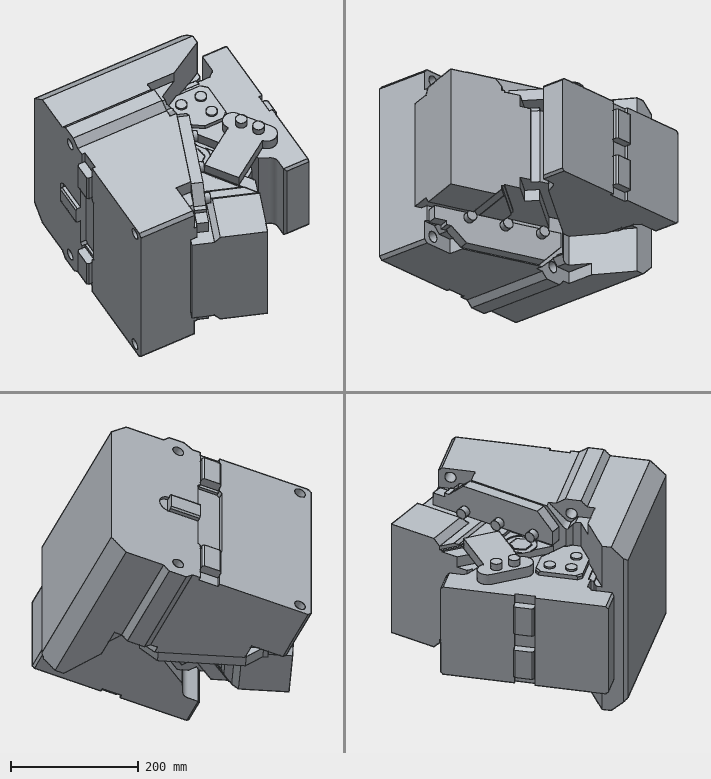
import cadquery as cq
import math


BASE_X = 345.0
BASE_Y = 270.0
BASE_HALF_Z = 150.0
LEFT_BEVEL_X = 26.0
LEFT_BEVEL_Z = 24.0
RIGHT_BEVEL = 5.5
CORNER_BEVEL = 6.0
RIB_HEIGHT = 10.0
RIB_Y = 159.5
RIB_FOOT_LEFT = 90.0
RIB_FOOT_RIGHT = 140.0
TOP_RIB_CREST_X = 125.5
BOTTOM_RIB_CREST_X = 129.5
HOLE_D = 18.3
HOLE_XS = (115.5, 325.5)
HOLE_Z = 134.5

GUIDE_TOP_X = 40.5
GUIDE_ANGLE = 31.0
V_FLOOR_Y = 176.5
GUIDE_FOOT_X = GUIDE_TOP_X + (BASE_Y - V_FLOOR_Y) * math.tan(math.radians(GUIDE_ANGLE))
RAMP_ANGLE = 20.0
RAMP_SLOPE = math.tan(math.radians(RAMP_ANGLE))
RAMP_X = 131.0
RAMP_Y = 178.5
RAMP_END_Y = RAMP_Y - (BASE_X - RAMP_X) * RAMP_SLOPE
WEDGE_ANGLE = 34.0
WEDGE_X = 139.5
WEDGE_Y = 197.0
WEDGE_SLOPE = math.tan(math.radians(WEDGE_ANGLE))
WEDGE_FOOT_X = WEDGE_X - (WEDGE_Y - V_FLOOR_Y) / WEDGE_SLOPE
RAMP_TIP_DX = (WEDGE_Y - RAMP_Y - (WEDGE_X - RAMP_X) * WEDGE_SLOPE) / (WEDGE_SLOPE + RAMP_SLOPE)
RAMP_TIP = (RAMP_X - RAMP_TIP_DX, RAMP_Y + RAMP_TIP_DX * RAMP_SLOPE)
GUIDE_STRIP_SHIFT = 9.5
GUIDE_STRIP_HALF_Z = 75.5

LEFT_NOTCH_X = 78.0
LEFT_NOTCH_RIGHT_X = 152.5
LEFT_NOTCH_SHELF_X = 104.8
LEFT_NOTCH_SHELF_Z = 130.2
LEFT_NOTCH_FILLET = 12.7
RIGHT_NOTCH_X = 286.0
RIGHT_NOTCH_Y = 96.0
RIGHT_NOTCH_SHELF_X = 311.0
RIGHT_NOTCH_SHELF_Z = 125.0
NOTCH_STEP = 11.0

PLATE_LENGTH = 224.0
PLATE_HALF_Z = 148.0
PLATE_T = 19.0
PLATE_INNER_Z = 95.3
PLATE_LEFT_BEVEL = 28.5
PLATE_BEVEL_START = 167.0
PLATE_BEVEL_END = 194.5
PLATE_SHOULDER_Z = 124.0
PLATE_STEP_U = 202.5
PLATE_END_Z = 117.0
HEAD_D = 17.0
HEAD_H = 12.0
HEAD_FIRST_U = 35.0
HEAD_PITCH = 64.5
HEAD_COUNT = 3
HEAD_Z = 104.0

KEY_WIDTH = 33.0
KEY_LENGTH = 50.0
KEY_PROUD = 8.7
KEY_SEAT = 5.5
KEY_BEVEL = 2.8
BASE_SLOT_X = 170.3
BASE_KEY_Z = 104.5
RECESS_WIDTH = 41.3
RECESS_HALF_Z = 73.5
RECESS_BEVEL = 4.5
RECESS_DEPTH = 10.0
CROSS_SLOT_END_X = 100.0
DRIVER_KEY_X = 150.5
DRIVER_KEY_Z = 39.5

DRIVER_HALF_Z = 80.0
DRIVER_TOP_Y = 334.5
FLANGE_Y = 291.0
FLANGE_LEFT_X = 15.5
FLANGE_RIGHT_X = 286.0
FLANGE_BEVEL = 4.0
NECK_X = 61.0
NECK_BEVEL_Y = 281.0
NECK_BEVEL_X = 52.0
NECK_ARC_START = (251.0, 281.5)
NECK_ARC_MIDDLE = (255.5, 288.0)
NECK_ARC_END_X = 263.5
SHOE_LEFT_X = 55.5
SHOE_RIGHT_X = 65.0
SHOE_Y = 259.5
SHOE_DROP = 2.5
WEDGE_END_X = 243.5

ARM_T = 18.3
SCREW_D = 18.3
ARM_SCREW_H = 11.5
ARM_X = 194.5
ARM_Y = 279.0
ARM_ANGLE = 35.0
ARM_WIDTH = 60.0
ARM_HEAD_R = 16.3
ARM_LENGTH = 101.2
ARM_SCREW_PITCH = 30.0
CAP_T = 7.0
CAP_SCREW_H = 3.0
CAP_LEFT_X = 74.5
CAP_RIGHT_X = 150.0
CAP_TOP_Y = 265.5
CAP_BEVEL = 6.5
CAP_EDGE_BEVEL = 2.5
CAP_WAIST_Y = 222.5
CAP_FOOT_X = 120.0
CAP_FOOT_Y = 180.0
CAP_TIP_X = 111.0
CAP_SCREWS = ((95.5, 245.7), (130.5, 245.7), (95.5, 210.8))

SLIDE_BACK_HALF_Z = 85.0
SLIDE_HALF_Z = 89.0
SLIDE_BLOCK_HALF_Z = 99.5
SLIDE_TAIL = 20.0
SLIDE_FRONT_U = 243.0
SLIDE_TOP_V = 110.0
SLIDE_HANG = 10.7
SLIDE_CORNER_U = 101.2
SLIDE_LIP_X = 239.8
SLIDE_STEP_X = 256.5
SLIDE_STEP_Y = 241.5
STEP_START_U = 133.8
STEP_END_U = 138.5
BLOCK_START_U = 152.5
BLOCK_FULL_U = 163.0
BLOCK_START_V = 25.5
BLOCK_FULL_V = 34.5
REAR_LEDGE_END_U = 91.3
SHOULDER_X = 230.0
SHOULDER_Y = 179.0
SHOULDER_STEP = 4.0
SHOULDER_STEP_Z = 82.5
LOW_LEDGE_Z = 61.5
FRONT_LOW_LEDGE = 22.5
REAR_LOW_LEDGE = 46.0
LOW_LEDGE_SPLIT = 27.8
BOLT_X = 192.5
BOLT_Y = 180.0
BOLT_RECESS_D = 51.5
BOLT_RECESS_DEPTH = 2.0
BOLT_HEX_D = 35.0
BOLT_HEX_TURN = 8.0

FAR = 794.0


def ramp_point(u, v):
    """World (x, y) of a point given along the ramp (u) and square to it (v)."""
    a = math.radians(RAMP_ANGLE)
    return (RAMP_X + u * math.cos(a) + v * math.sin(a), RAMP_Y - u * math.sin(a) + v * math.cos(a))


def wedge_y(x):
    """Height of the wedge face at x."""
    return WEDGE_Y + (x - WEDGE_X) * WEDGE_SLOPE


def guide_y(x):
    """Height of the left guide face at x."""
    return BASE_Y - (x - GUIDE_TOP_X) / math.tan(math.radians(GUIDE_ANGLE))


def prism(points, z_low, z_high):
    """Outline in X and Y, extruded from z_low to z_high."""
    return cq.Workplane("XY").workplane(offset=z_low).polyline(points).close().extrude(z_high - z_low)


def y_prism(points, y_low, y_high):
    """Outline in X and Z, extruded from y_low to y_high."""
    return cq.Workplane("XZ", origin=(0, y_low, 0)).polyline(points).close().extrude(y_low - y_high)


def on_ramp(body):
    """Move a body built with the ramp's upper end at the origin and u along X to its place."""
    return body.rotate((0, 0, 0), (0, 0, 1), -RAMP_ANGLE).translate((RAMP_X, RAMP_Y, 0))


def both_sides(body):
    """The body together with its mirror image in Z = 0."""
    return body.union(body.mirror("XY"))


def key():
    """Key along Z, seated from y = -KEY_SEAT to y = KEY_PROUD, with its outer long edges bevelled."""
    blank = cq.Workplane("XY").box(KEY_WIDTH, KEY_SEAT + KEY_PROUD, KEY_LENGTH)
    blank = blank.edges("|Z and >Y").chamfer(KEY_BEVEL)
    return blank.translate((0, (KEY_PROUD - KEY_SEAT) / 2, 0))


def rib(crest_right_x):
    """Stiffening rib on the +Z side."""
    return y_prism(
        [
            (RIB_FOOT_LEFT, 0),
            (RIB_FOOT_LEFT, BASE_HALF_Z),
            (RIB_FOOT_LEFT + RIB_HEIGHT, BASE_HALF_Z + RIB_HEIGHT),
            (crest_right_x, BASE_HALF_Z + RIB_HEIGHT),
            (RIB_FOOT_RIGHT, BASE_HALF_Z),
            (RIB_FOOT_RIGHT, 0),
        ],
        0,
        RIB_Y,
    )


def base_block():
    side = prism(
        [
            (0, 0),
            (BASE_X, 0),
            (BASE_X, RAMP_END_Y),
            RAMP_TIP,
            (WEDGE_FOOT_X, V_FLOOR_Y),
            (GUIDE_FOOT_X, V_FLOOR_Y),
            (GUIDE_TOP_X, BASE_Y),
            (CORNER_BEVEL, BASE_Y),
            (0, BASE_Y - CORNER_BEVEL),
        ],
        -BASE_HALF_Z - RIB_HEIGHT,
        BASE_HALF_Z + RIB_HEIGHT,
    )
    plan = y_prism(
        [
            (0, BASE_HALF_Z - LEFT_BEVEL_Z),
            (LEFT_BEVEL_X, BASE_HALF_Z),
            (BASE_X - RIGHT_BEVEL, BASE_HALF_Z),
            (BASE_X, BASE_HALF_Z - RIGHT_BEVEL),
            (BASE_X, RIGHT_BEVEL - BASE_HALF_Z),
            (BASE_X - RIGHT_BEVEL, -BASE_HALF_Z),
            (LEFT_BEVEL_X, -BASE_HALF_Z),
            (0, LEFT_BEVEL_Z - BASE_HALF_Z),
        ],
        0,
        BASE_Y,
    )
    block = side.intersect(plan)
    return block.union(rib(TOP_RIB_CREST_X)).union(rib(BOTTOM_RIB_CREST_X).mirror("XY"))


def guide_strip():
    """Wear strip lying on the left guide face."""
    return prism(
        [
            (GUIDE_TOP_X, BASE_Y),
            (GUIDE_TOP_X + GUIDE_STRIP_SHIFT, BASE_Y),
            (GUIDE_FOOT_X + GUIDE_STRIP_SHIFT, V_FLOOR_Y),
            (GUIDE_FOOT_X, V_FLOOR_Y),
        ],
        -GUIDE_STRIP_HALF_Z,
        GUIDE_STRIP_HALF_Z,
    )


def notches():
    floor_z = LEFT_NOTCH_SHELF_Z - NOTCH_STEP
    rise_x = LEFT_NOTCH_RIGHT_X - (BASE_HALF_Z - floor_z)
    left = y_prism(
        [
            (LEFT_NOTCH_X, BASE_HALF_Z),
            (LEFT_NOTCH_X, LEFT_NOTCH_SHELF_Z),
            (LEFT_NOTCH_SHELF_X, LEFT_NOTCH_SHELF_Z),
            (LEFT_NOTCH_SHELF_X + NOTCH_STEP, floor_z),
            (rise_x, floor_z),
            (LEFT_NOTCH_RIGHT_X, BASE_HALF_Z),
        ],
        RIB_Y,
        RAMP_TIP[1],
    )
    rise_edge = cq.selectors.NearestToPointSelector((rise_x, (RIB_Y + RAMP_TIP[1]) / 2, floor_z))
    left = left.edges(rise_edge).fillet(LEFT_NOTCH_FILLET)
    guide_trim = prism(
        [
            (LEFT_NOTCH_X, RIB_Y),
            (LEFT_NOTCH_X, guide_y(LEFT_NOTCH_X)),
            (GUIDE_FOOT_X, V_FLOOR_Y),
            (GUIDE_FOOT_X, RIB_Y),
        ],
        LEFT_NOTCH_SHELF_Z,
        BASE_HALF_Z,
    )
    right = y_prism(
        [
            (RIGHT_NOTCH_X, BASE_HALF_Z),
            (RIGHT_NOTCH_X, RIGHT_NOTCH_SHELF_Z),
            (RIGHT_NOTCH_SHELF_X, RIGHT_NOTCH_SHELF_Z),
            (RIGHT_NOTCH_SHELF_X + NOTCH_STEP, RIGHT_NOTCH_SHELF_Z - NOTCH_STEP),
            (BASE_X, RIGHT_NOTCH_SHELF_Z - NOTCH_STEP),
            (BASE_X, BASE_HALF_Z),
        ],
        RIGHT_NOTCH_Y,
        RAMP_Y,
    )
    return both_sides(left.union(guide_trim)).union(both_sides(right))


def wear_plates():
    """Bevelled plates along both sides of the ramp, each with a row of screw heads."""
    plate = y_prism(
        [
            (0, PLATE_INNER_Z),
            (PLATE_LENGTH, PLATE_INNER_Z),
            (PLATE_LENGTH, PLATE_END_Z),
            (PLATE_STEP_U, PLATE_END_Z),
            (PLATE_STEP_U, PLATE_SHOULDER_Z),
            (PLATE_BEVEL_END, PLATE_SHOULDER_Z),
            (PLATE_BEVEL_START, PLATE_HALF_Z),
            (PLATE_LEFT_BEVEL, PLATE_HALF_Z),
            (0, PLATE_HALF_Z - PLATE_LEFT_BEVEL),
        ],
        0,
        PLATE_T,
    )
    for i in range(HEAD_COUNT):
        centre = (HEAD_FIRST_U + i * HEAD_PITCH, PLATE_T, HEAD_Z)
        plate = plate.union(cq.Workplane("XZ", origin=centre).circle(HEAD_D / 2).extrude(-HEAD_H))
    return on_ramp(both_sides(plate))


def base_slots():
    """Long key slot, its deeper middle recess and the round-ended cross slot in the bottom face."""
    long_slot = cq.Workplane("XY").box(KEY_WIDTH, 2 * KEY_SEAT, FAR).translate((BASE_SLOT_X, 0, 0))
    recess = cq.Workplane("XY").box(RECESS_WIDTH, 2 * RECESS_DEPTH, 2 * RECESS_HALF_Z)
    recess = recess.edges("|Y").chamfer(RECESS_BEVEL).translate((BASE_SLOT_X, 0, 0))
    cross_length = BASE_SLOT_X - CROSS_SLOT_END_X
    cross_slot = (
        cq.Workplane("XZ")
        .center(CROSS_SLOT_END_X + cross_length / 2, 0)
        .slot2D(cross_length + KEY_WIDTH, KEY_WIDTH)
        .extrude(-KEY_SEAT)
    )
    return long_slot.union(recess).union(cross_slot)


def base_keys():
    down_key = key().rotate((0, 0, 0), (0, 0, 1), 180)
    slot_key = down_key.translate((BASE_SLOT_X, 0, BASE_KEY_Z))
    cross_key_x = BASE_SLOT_X - RECESS_WIDTH / 2 - KEY_LENGTH / 2
    cross_key = down_key.rotate((0, 0, 0), (0, 1, 0), 90).translate((cross_key_x, 0, 0))
    return both_sides(slot_key).union(cross_key)


def make_base():
    base = base_block().cut(notches()).union(guide_strip()).union(wear_plates())
    holes = cq.Workplane("XZ").pushPoints([(x, z) for x in HOLE_XS for z in (-HOLE_Z, HOLE_Z)])
    base = base.cut(holes.circle(HOLE_D / 2).extrude(-FAR))
    return base.cut(cap()).cut(base_slots()).union(base_keys())


def driver_block():
    web = (
        cq.Workplane("XY")
        .workplane(offset=-DRIVER_HALF_Z)
        .moveTo(NECK_BEVEL_X, FLANGE_Y)
        .lineTo(NECK_X, NECK_BEVEL_Y)
        .lineTo(NECK_X, SHOE_Y)
        .lineTo(SHOE_LEFT_X, SHOE_Y)
        .lineTo(SHOE_LEFT_X, guide_y(SHOE_LEFT_X))
        .lineTo(GUIDE_FOOT_X, V_FLOOR_Y)
        .lineTo(WEDGE_FOOT_X, V_FLOOR_Y)
        .lineTo(WEDGE_END_X, wedge_y(WEDGE_END_X))
        .lineTo(*NECK_ARC_START)
        .threePointArc(NECK_ARC_MIDDLE, (NECK_ARC_END_X, FLANGE_Y))
        .close()
        .extrude(2 * DRIVER_HALF_Z)
    )
    shoe_relief = cq.Workplane("XY").box(
        SHOE_RIGHT_X, SHOE_Y, SHOE_DROP, centered=False
    ).translate((0, 0, DRIVER_HALF_Z - SHOE_DROP))
    flange = cq.Workplane("XY").box(
        FLANGE_RIGHT_X - FLANGE_LEFT_X, DRIVER_TOP_Y - FLANGE_Y, 2 * DRIVER_HALF_Z
    )
    flange = flange.faces("<X or >X").edges("not >Y").chamfer(FLANGE_BEVEL)
    flange = flange.translate(((FLANGE_LEFT_X + FLANGE_RIGHT_X) / 2, (FLANGE_Y + DRIVER_TOP_Y) / 2, 0))
    return web.cut(both_sides(shoe_relief)).cut(guide_strip()).union(flange)


def screw_heads(points, seat_height, head_height):
    """Round screw heads on a retainer whose face is seat_height above the driver's +Z face."""
    face = cq.Workplane("XY").workplane(offset=DRIVER_HALF_Z + seat_height)
    return face.pushPoints(points).circle(SCREW_D / 2).extrude(head_height)


def in_arm_place(body):
    """Move a body built with the arm's head along X at the origin to its place on the driver."""
    return body.rotate((0, 0, 0), (0, 0, 1), ARM_ANGLE).translate((ARM_X, ARM_Y, 0))


def arm():
    face = cq.Workplane("XY").workplane(offset=DRIVER_HALF_Z)
    head = face.slot2D(ARM_WIDTH + 2 * ARM_HEAD_R, 2 * ARM_HEAD_R).extrude(ARM_T)
    strap = face.center(0, -ARM_LENGTH / 2).rect(ARM_WIDTH, ARM_LENGTH).extrude(ARM_T)
    screws = screw_heads([(-ARM_SCREW_PITCH / 2, 0), (ARM_SCREW_PITCH / 2, 0)], ARM_T, ARM_SCREW_H)
    return in_arm_place(head.union(strap).union(screws))


def cap():
    plate = prism(
        [
            (CAP_LEFT_X, guide_y(CAP_LEFT_X)),
            (CAP_LEFT_X, CAP_TOP_Y - CAP_BEVEL),
            (CAP_LEFT_X + CAP_BEVEL, CAP_TOP_Y),
            (CAP_RIGHT_X - CAP_BEVEL, CAP_TOP_Y),
            (CAP_RIGHT_X, CAP_TOP_Y - CAP_BEVEL),
            (CAP_RIGHT_X, CAP_WAIST_Y),
            (CAP_FOOT_X, CAP_FOOT_Y),
            (CAP_TIP_X, V_FLOOR_Y),
            (GUIDE_FOOT_X, V_FLOOR_Y),
        ],
        DRIVER_HALF_Z,
        DRIVER_HALF_Z + CAP_T,
    )
    for x in (CAP_LEFT_X, CAP_RIGHT_X):
        corner = (x, CAP_TOP_Y, DRIVER_HALF_Z + CAP_T)
        plate = plate.edges(cq.selectors.NearestToPointSelector(corner)).chamfer(CAP_EDGE_BEVEL)
    return plate.union(screw_heads(CAP_SCREWS, CAP_T, CAP_SCREW_H))


def make_driver():
    driver_key = key().translate((DRIVER_KEY_X, DRIVER_TOP_Y, DRIVER_KEY_Z))
    slot = cq.Workplane("XY").box(KEY_WIDTH, 2 * KEY_SEAT, FAR).translate((DRIVER_KEY_X, DRIVER_TOP_Y, 0))
    block = driver_block().cut(slot)
    return block.union(both_sides(driver_key)).union(arm()).union(cap())


def slide_outline(z_half):
    nose_u = (BASE_X - RAMP_X + SLIDE_HANG * math.sin(math.radians(RAMP_ANGLE))) / math.cos(
        math.radians(RAMP_ANGLE)
    )
    points = [
        RAMP_TIP,
        (SLIDE_LIP_X, wedge_y(SLIDE_LIP_X)),
        (SLIDE_STEP_X, SLIDE_STEP_Y),
        ramp_point(SLIDE_CORNER_U, SLIDE_TOP_V),
        ramp_point(SLIDE_FRONT_U, SLIDE_TOP_V),
        ramp_point(SLIDE_FRONT_U, -SLIDE_HANG),
        ramp_point(nose_u, -SLIDE_HANG),
        (BASE_X, RAMP_END_Y),
    ]
    return prism(points, -z_half, z_half)


def slide_widths():
    """Envelope that steps out in Z from the back to the front block and bevels under the block."""
    back = [
        (-SLIDE_TAIL, 0),
        (-SLIDE_TAIL, SLIDE_BACK_HALF_Z),
        (STEP_START_U, SLIDE_BACK_HALF_Z),
        (STEP_END_U, SLIDE_HALF_Z),
        (BLOCK_START_U, SLIDE_HALF_Z),
        (BLOCK_FULL_U, SLIDE_BLOCK_HALF_Z),
        (SLIDE_FRONT_U, SLIDE_BLOCK_HALF_Z),
        (SLIDE_FRONT_U, 0),
    ]
    lengthwise = y_prism(back, -SLIDE_HANG, SLIDE_TOP_V)
    crosswise = (
        cq.Workplane("YZ", origin=(-SLIDE_TAIL, 0, 0))
        .polyline(
            [
                (-SLIDE_HANG, 0),
                (-SLIDE_HANG, SLIDE_HALF_Z),
                (BLOCK_START_V, SLIDE_HALF_Z),
                (BLOCK_FULL_V, SLIDE_BLOCK_HALF_Z),
                (SLIDE_TOP_V, SLIDE_BLOCK_HALF_Z),
                (SLIDE_TOP_V, 0),
            ]
        )
        .close()
        .extrude(SLIDE_TAIL + SLIDE_FRONT_U)
    )
    return on_ramp(both_sides(lengthwise.intersect(crosswise)))


def ledge(distance, floor_z, left=-FAR, right=FAR):
    """Space above floor_z, beyond a line parallel to the wedge face at a distance from the shoulder."""
    space = cq.Workplane("XY").box(right - left, FAR, SLIDE_BLOCK_HALF_Z - floor_z, centered=False)
    space = space.translate((left, distance, floor_z)).rotate((0, 0, 0), (0, 0, 1), WEDGE_ANGLE)
    return space.translate((SHOULDER_X, SHOULDER_Y, 0))


def behind(end_u, floor_z):
    """Space above floor_z on the ramp side up to end_u."""
    space = cq.Workplane("XY").box(FAR, FAR, SLIDE_BLOCK_HALF_Z - floor_z, centered=(True, True, False))
    return on_ramp(space.translate((end_u - FAR / 2, 0, floor_z)))


def slide_ledges():
    """Stepped room on the slide for the arm, ending at the shoulder and short of the front block."""
    main = ledge(0, DRIVER_HALF_Z)
    step = ledge(-SHOULDER_STEP, SHOULDER_STEP_Z)
    front = ledge(FRONT_LOW_LEDGE, LOW_LEDGE_Z, left=LOW_LEDGE_SPLIT)
    rear = ledge(REAR_LOW_LEDGE, LOW_LEDGE_Z, right=LOW_LEDGE_SPLIT)
    room = main.union(step).union(front).union(rear).intersect(behind(BLOCK_START_U, LOW_LEDGE_Z))
    return both_sides(room.union(behind(REAR_LEDGE_END_U, DRIVER_HALF_Z)))


def bolt_recess():
    """Shallow round recess around a hexagonal bolt head."""
    face = cq.Workplane("XY", origin=(BOLT_X, BOLT_Y, DRIVER_HALF_Z - BOLT_RECESS_DEPTH))
    ring = face.circle(BOLT_RECESS_D / 2).extrude(BOLT_RECESS_DEPTH)
    head = face.transformed(rotate=(0, 0, BOLT_HEX_TURN)).polygon(6, BOLT_HEX_D).extrude(BOLT_RECESS_DEPTH)
    return ring.cut(head)


def make_slide():
    slide = slide_outline(SLIDE_BLOCK_HALF_Z).intersect(slide_widths())
    return slide.cut(slide_ledges()).cut(bolt_recess())


base = make_base()
driver = make_driver()
slide = make_slide()
result = cq.Compound.makeCompound([base.solids().val(), driver.solids().val(), slide.solids().val()])